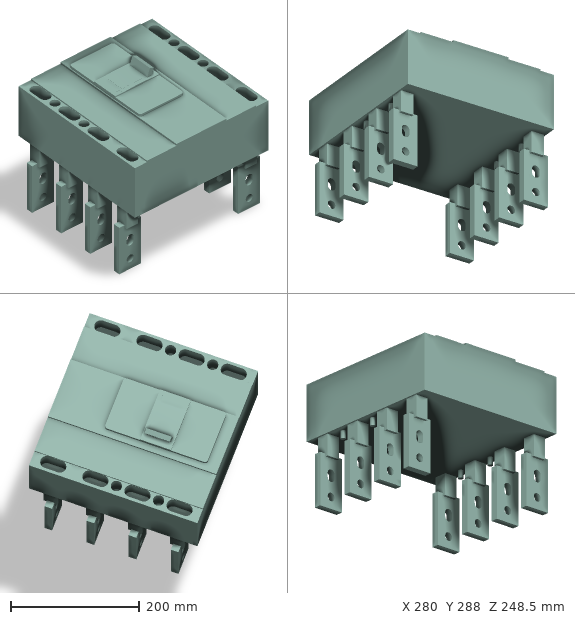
import cadquery as cq
import math


pole_count = 4
pole_pitch = 70.0
pole_xs = [(i - (pole_count - 1) / 2) * pole_pitch for i in range(pole_count)]
terminal_row_y = 121.5
row_sides = (-1, 1)

body_width = pole_count * pole_pitch
body_depth = 272.5
end_step_height = 96.5
middle_step_height = 99.0
middle_step_depth = 222.5
centre_step_height = 102.5
centre_step_depth = 102.2

pocket_length = 42.0
pocket_width = 20.2
pocket_depth = 28.8

plate_x = pole_xs[1]
plate_y = -4.5
plate_width = 170.5
plate_depth = 90.0
plate_height = 107.5
plate_corner_radius = 5.0
panel_width = 51.3
panel_height = 109.5
arch_length = 63.0
arch_rise = 1.2
rocker_width = 36.0
rocker_length = 59.0
rocker_lift = 0.3
button_size = 7.0
button_depth = 0.3
button_inset_x = 1.0
button_y = -37.5

lever_width = 42.0
lever_thickness = 8.4
lever_lean = 20.0
lever_top_z = 126.0
lever_top_front_y = 25.0

overall_depth = 288.0
post_size = 23.3
post_length = 37.0
blade_thickness = 12.7
blade_width = overall_depth - 2 * terminal_row_y
blade_top_z = -32.0
blade_bottom_z = -122.5
blade_slot_width = 14.0
blade_slot_length = 21.0
blade_slot_z = -66.2
blade_hole_diameter = 14.0
blade_hole_z = -102.2

screw_xs = [-pole_pitch, 0.0]
screw_positions = [(x, side * terminal_row_y) for x in screw_xs for side in row_sides]
screw_head_diameter = 17.5
screw_head_height = 8.5
screw_head_rounding = 5.8
screw_head_top_z = end_step_height - pocket_depth
screw_head_seat_z = screw_head_top_z - screw_head_height
screw_shaft_diameter = 8.5
screw_tip_z = -13.2


def block(width, depth, bottom_z, top_z, x=0.0, y=0.0):
    """Upright box centred on (x, y) between two heights."""
    height = top_z - bottom_z
    shape = cq.Workplane("XY").box(width, depth, height, centered=(True, True, False))
    return shape.translate((x, y, bottom_z))


def make_stepped_body():
    body = block(body_width, body_depth, 0, end_step_height)
    body = body.union(block(body_width, middle_step_depth, 0, middle_step_height))
    return body.union(block(body_width, centre_step_depth, 0, centre_step_height))


def make_terminal_pockets():
    centres = [(x, side * terminal_row_y) for x in pole_xs for side in row_sides]
    pockets = cq.Workplane("XY").workplane(offset=end_step_height - pocket_depth)
    return pockets.pushPoints(centres).slot2D(pocket_length, pocket_width).extrude(pocket_depth)


def make_screw_bores():
    seat = cq.Workplane("XY").workplane(offset=screw_head_seat_z)
    bores = seat.pushPoints(screw_positions).circle(screw_head_diameter / 2)
    bores = bores.extrude(end_step_height - screw_head_seat_z)
    shaft_holes = cq.Workplane("XY").pushPoints(screw_positions).circle(screw_shaft_diameter / 2)
    return bores.union(shaft_holes.extrude(screw_head_seat_z))


def make_arch(width, length, lift=0.0):
    """Shallow crowned strip, following the panel's arch raised by lift."""
    arch_radius = ((arch_length / 2) ** 2 + arch_rise**2) / (2 * arch_rise)
    half_length = length / 2
    crest_z = panel_height + arch_rise + lift
    edge_z = crest_z - arch_radius + math.sqrt(arch_radius**2 - half_length**2)
    profile = (
        cq.Workplane("YZ")
        .moveTo(-half_length, plate_height)
        .lineTo(-half_length, edge_z)
        .threePointArc((0, crest_z), (half_length, edge_z))
        .lineTo(half_length, plate_height)
        .close()
    )
    return profile.extrude(width / 2, both=True).translate((plate_x, 0, 0))


def make_lever():
    lean = math.radians(lever_lean)
    top_rear_y = lever_top_front_y + lever_thickness * math.cos(lean)
    top_rear_z = lever_top_z - lever_thickness * math.sin(lean)
    foot_front_y = lever_top_front_y - (lever_top_z - plate_height) * math.tan(lean)
    foot_rear_y = top_rear_y - (top_rear_z - plate_height) * math.tan(lean)
    profile = cq.Workplane("YZ").polyline(
        [
            (foot_front_y, plate_height),
            (lever_top_front_y, lever_top_z),
            (top_rear_y, top_rear_z),
            (foot_rear_y, plate_height),
        ]
    )
    return profile.close().extrude(lever_width / 2, both=True).translate((plate_x, 0, 0))


def make_cover():
    """Cover plate with the raised panel, crowned rocker, button recess and lever."""
    cover = block(plate_width, plate_depth, centre_step_height, plate_height, plate_x, plate_y)
    cover = cover.edges("|Z").fillet(plate_corner_radius)
    cover = cover.union(block(panel_width, plate_depth, centre_step_height, panel_height, plate_x, plate_y))
    cover = cover.union(make_arch(panel_width, arch_length))
    cover = cover.union(make_arch(rocker_width, rocker_length, rocker_lift))
    button_x = plate_x + panel_width / 2 - button_inset_x - button_size / 2
    button_floor_z = panel_height - button_depth
    cover = cover.cut(block(button_size, button_size, button_floor_z, panel_height, button_x, button_y))
    return cover.union(make_lever())


def make_terminal(x, y):
    post = block(post_size, post_size, -post_length, 0, x, y)
    blade = block(blade_thickness, blade_width, blade_bottom_z, blade_top_z, x, y)
    slot = cq.Workplane("YZ").center(y, blade_slot_z).slot2D(blade_slot_length, blade_slot_width, 90)
    hole = cq.Workplane("YZ").center(y, blade_hole_z).circle(blade_hole_diameter / 2)
    for opening in (slot, hole):
        blade = blade.cut(opening.extrude(blade_thickness / 2, both=True).translate((x, 0, 0)))
    return post.union(blade)


def make_housing():
    body = make_stepped_body().cut(make_terminal_pockets()).cut(make_screw_bores())
    body = body.union(make_cover())
    for x in pole_xs:
        for side in row_sides:
            body = body.union(make_terminal(x, side * terminal_row_y))
    return body


def make_screw(x, y):
    """Screw with a rounded head and a plain shaft reaching below the housing."""
    head = cq.Workplane("XY").circle(screw_head_diameter / 2).extrude(screw_head_height)
    head = head.faces(">Z").edges().fillet(screw_head_rounding).translate((0, 0, screw_head_seat_z))
    shaft = cq.Workplane("XY").workplane(offset=screw_tip_z).circle(screw_shaft_diameter / 2)
    shaft = shaft.extrude(screw_head_seat_z - screw_tip_z)
    return head.union(shaft).translate((x, y, 0))


housing = make_housing()
screws = [make_screw(x, y) for x, y in screw_positions]

result = cq.Compound.makeCompound([housing.val(), *[screw.val() for screw in screws]])